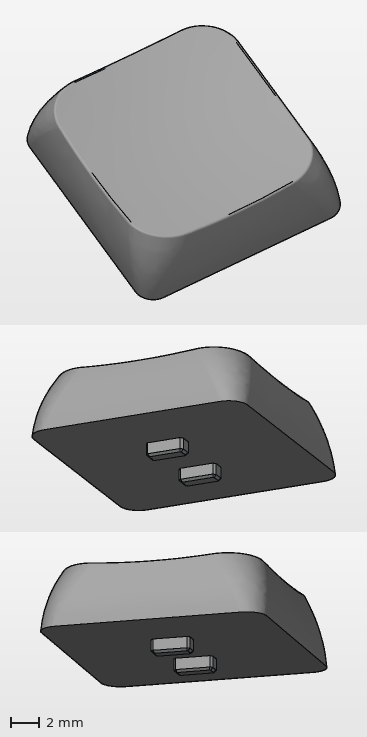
import cadquery as cq
import math

cap_length = 17.5
cap_width = 16.5
cap_height = 4.78
base_corner_radius = 1.45
top_corner_radius = 3.01

end_wall_arc_radius = 11.55
side_wall_arc_radius = 12.08
wall_section_count = 4
trim_allowance = 0.7

dish_radius = 47.25
dish_center_depth = 0.91
rim_fillet_radius = 0.18
rim_search_floor = 0.75 * cap_height

leg_spacing = 5.56
leg_thickness = 1.19
leg_width = 2.85
leg_length = 1.0
leg_chamfer = 0.18


def wall_inset(arc_radius, height):
    """Inward lean of a wall at a given height, measured from its foot."""
    return arc_radius - math.sqrt(arc_radius**2 - height**2)


def wall_section(height):
    """Rounded-rectangle outline of the cap at a given height."""
    length = cap_length - 2 * wall_inset(end_wall_arc_radius, height)
    width = cap_width - 2 * wall_inset(side_wall_arc_radius, height)
    radius_growth = (top_corner_radius - base_corner_radius) / cap_height
    corner_radius = base_corner_radius + radius_growth * height
    return (
        cq.Sketch()
        .rect(length, width)
        .vertices()
        .fillet(corner_radius)
        .moved(cq.Location(cq.Vector(0, 0, height)))
    )


def make_cap():
    """Solid cap: lofted walls, dished top and a rounded rim."""
    step = (cap_height + trim_allowance) / (wall_section_count - 1)
    sections = [wall_section(i * step) for i in range(wall_section_count)]
    walls = cq.Workplane("XY").placeSketch(*sections).loft()
    dish_center_z = cap_height - dish_center_depth + dish_radius
    dish = (
        cq.Workplane("XY")
        .sphere(dish_radius)
        .rotate((0, 0, 0), (1, 0, 0), 90)
        .translate((0, 0, dish_center_z))
    )
    rim = cq.selectors.BoxSelector(
        (-cap_length, -cap_width, rim_search_floor),
        (cap_length, cap_width, 2 * cap_height),
    )
    return walls.cut(dish).edges(rim).fillet(rim_fillet_radius)


def make_leg(center_x):
    """Leg hanging below the cap, with bevelled corners and a bevelled tip."""
    return (
        cq.Workplane("XY")
        .center(center_x, 0)
        .rect(leg_thickness, leg_width)
        .extrude(-leg_length)
        .edges("|Z")
        .chamfer(leg_chamfer)
        .faces("<Z")
        .chamfer(leg_chamfer)
    )


result = make_cap()
for side in (-1, 1):
    result = result.union(make_leg(side * leg_spacing / 2))